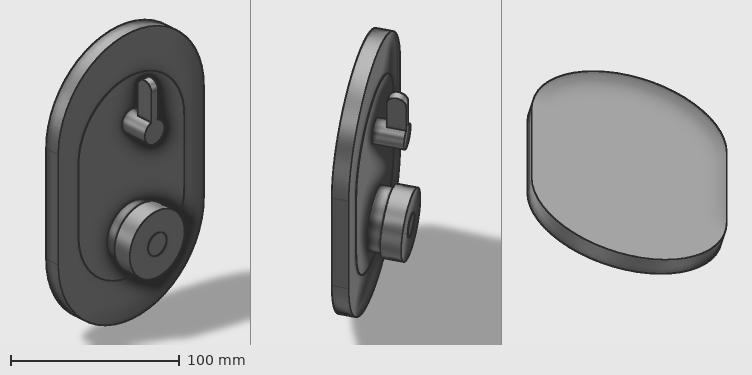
import cadquery as cq

plate_height = 195.0
plate_width = 120.0
plate_thickness = 10.5
axis_height = (plate_height - plate_width) / 2

panel_height = 136.5
panel_width = 87.0
panel_thickness = 0.4

neck_diameter = 40.2
neck_end = 19.9
knob_diameter = 45.0
knob_end = 32.8
cap_diameter = 15.2
cap_end = 33.2

spindle_diameter = 16.0
spindle_end = 30.6
lever_width = 11.9
lever_thickness = 5.3
lever_top = 71.4


def stadium(height, width, start, thickness):
    """Upright stadium slab, extruded along +X from X = start."""
    return (
        cq.Workplane("YZ", origin=(start, 0, 0))
        .slot2D(height, width, 90)
        .extrude(thickness)
    )


def cylinder(diameter, start, end, height):
    """Cylinder along X with its axis at Z = height."""
    return (
        cq.Workplane("YZ", origin=(start, 0, height))
        .circle(diameter / 2)
        .extrude(end - start)
    )


def make_lever():
    """Flat lever rising from the spindle axis to a semicircular tip."""
    lever_start = spindle_end - lever_width
    shoulder = lever_top - lever_width / 2
    return (
        cq.Workplane("XZ")
        .moveTo(lever_start, axis_height)
        .lineTo(lever_start, shoulder)
        .threePointArc((lever_start + lever_width / 2, lever_top), (spindle_end, shoulder))
        .lineTo(spindle_end, axis_height)
        .close()
        .extrude(lever_thickness / 2, both=True)
    )


plate = stadium(plate_height, plate_width, 0, plate_thickness)
panel = stadium(panel_height, panel_width, plate_thickness, panel_thickness)

neck = cylinder(neck_diameter, plate_thickness, neck_end, -axis_height)
knob = cylinder(knob_diameter, neck_end, knob_end, -axis_height)
cap = cylinder(cap_diameter, knob_end, cap_end, -axis_height)

spindle = cylinder(spindle_diameter, plate_thickness, spindle_end, axis_height)

result = plate.union(panel).union(neck).union(knob).union(cap).union(spindle).union(make_lever())